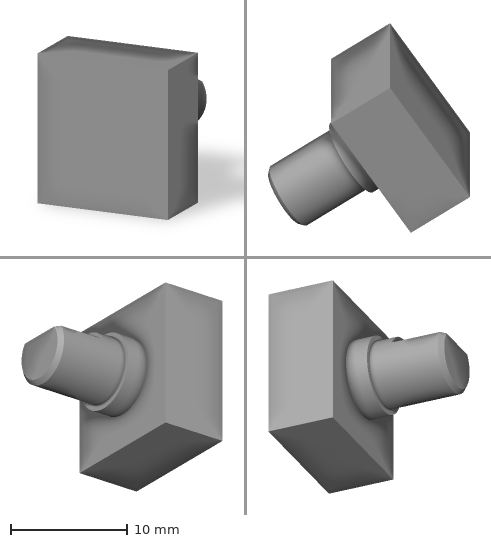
import cadquery as cq

body_width = 12.4
body_height = 13.4
body_depth = 6.1

total_length = 15.0
collar_diameter = 7.0
collar_length = 2.0
shaft_diameter = 6.0
shaft_length = total_length - body_depth - collar_length
tip_chamfer = 0.4

flat_length = 5.0
flat_height = 1.5


def make_body():
    """Block with its front face on Y = 0, centred in X and Z."""
    return cq.Workplane("XY").box(body_width, body_depth, body_height, centered=(True, False, True))


def make_collar():
    """Short, wide step next to the body."""
    back_face = cq.Workplane("XZ", origin=(0, body_depth, 0))
    return back_face.circle(collar_diameter / 2).extrude(-collar_length)


def make_shaft():
    """Chamfered shaft with the flat cut into its upper side."""
    shaft_start = cq.Workplane("XZ", origin=(0, body_depth + collar_length, 0))
    shaft = shaft_start.circle(shaft_diameter / 2).extrude(-shaft_length)
    shaft = shaft.faces(">Y").chamfer(tip_chamfer)
    flat_cutter = (
        cq.Workplane("XY", origin=(0, total_length - flat_length, flat_height))
        .box(shaft_diameter, flat_length, shaft_diameter / 2, centered=(True, False, False))
    )
    return shaft.cut(flat_cutter)


result = make_body().union(make_collar()).union(make_shaft())